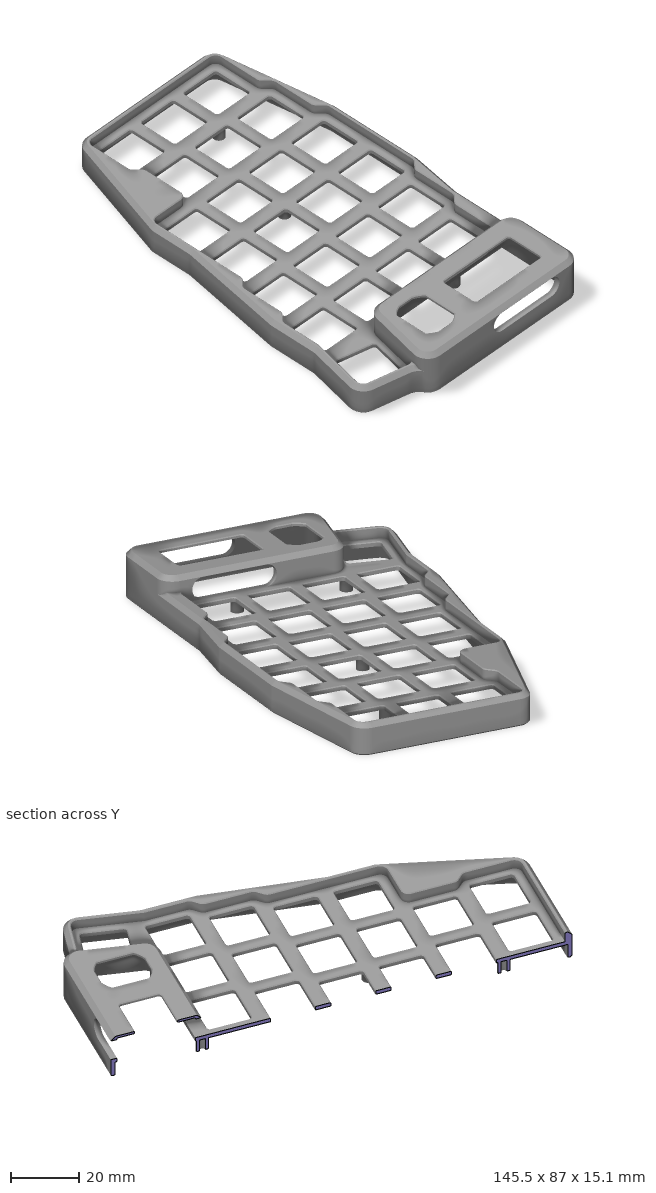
import cadquery as cq
import math

base_height = 10.0
total_height = 15.05
plate_top = 6.5
plate_thickness = 1.5
plate_bottom = plate_top - plate_thickness
past_surface = 1.0

outer_radius = 5.0
rim_chamfer = 1.4
bottom_chamfer = 0.5
opening_chamfer = 0.3
base_wall = 1.5

key_pitch_x = 19.0
key_pitch_y = 18.0
column_stagger = 3.0
column_rows = [3, 3, 4, 4, 4, 4]
column_raise = [0, 1, 2, 2, 1, 0]
first_column_x = 12.0
first_column_top_y = 69.45
key_hole = 14.0
key_hole_radius = 1.0

thumb_angle = 12.0
thumb_slope = math.tan(math.radians(thumb_angle))
thumb_sin = math.sin(math.radians(thumb_angle))
thumb_cos = math.cos(math.radians(thumb_angle))
thumb_key_center = (127.65, 12.85, 0)

overall_width = 145.46
overall_depth = 87.02
back_slope = column_stagger / key_pitch_x
left_front_y = 23.3
left_back_y = 80.25
outline_middle_x = 59.65
back_left_x = (overall_depth - left_back_y) / back_slope
back_right_x = 2 * outline_middle_x - back_left_x
front_left = (42.4, 10.25)
front_middle = (57.6, 10.25)
front_step = (96.5, 3.91)
thumb_start = (114.05, 3.91)
thumb_corner_x = 136.8
thumb_corner = (thumb_corner_x, thumb_start[1] - (thumb_corner_x - thumb_start[0]) * thumb_slope)

pocket_wall = 2.3
pocket_back_margin = 9.6
pocket_front_margin = 9.0
pocket_side_margin = 0.6
pocket_radius = 2.5
pocket_riser_overlap = 0.8

riser_left_x = 116.8
riser_back_y = 84.1
riser_left_front_y = 24.3
riser_chamfer = 1.5
riser_wall = 2.0
riser_roof = 1.0
window_size = (13.3, 28.0)
window_center = (131.15, 61.5)
window_radius = 1.0
knob_hole = (15.9, 12.2)
knob_diameter = 16.8
knob_center = (130.8, 33.6)
slot_height = 7.0
slot_length = 27.8
slot_center_y = 61.1
slot_center_z = base_height

post_diameter = 4.0
pilot_diameter = 1.65
post_bottom = 0.8
post_keys = [(0, 1), (2, 2), (5, 1), (5, 3)]


def column_x(column):
    return first_column_x + column * key_pitch_x


def key_y(column, row):
    column_top = first_column_top_y + column_raise[column] * column_stagger
    return column_top - row * key_pitch_y


def thumb_edge_x(y):
    """X of the outer edge beside the thumb key at a given Y."""
    return thumb_corner[0] + (y - thumb_corner[1]) * thumb_slope


def riser_front_y(x):
    """Y of the slanted front edge of the riser, parallel to the thumb key."""
    return riser_left_front_y - (x - riser_left_x) * thumb_slope


def prism(points, height):
    return cq.Workplane("XY").polyline(points).close().extrude(height)


def riser_block(height):
    footprint = [
        (riser_left_x, riser_left_front_y),
        (riser_left_x, riser_back_y),
        (overall_width, riser_back_y),
        (overall_width, riser_front_y(overall_width)),
    ]
    return prism(footprint, height).edges("|Z").fillet(outer_radius)


def base_outline():
    """The base as a plain block, including the area under the riser."""
    shoulder_x = back_right_x + (overall_depth - riser_back_y) / back_slope
    hidden_x = (riser_left_x + overall_width) / 2
    hidden_y = riser_left_front_y
    corners = [
        thumb_corner,
        thumb_start,
        front_step,
        front_middle,
        front_left,
        (0, left_front_y),
        (0, left_back_y),
        (back_left_x, overall_depth),
        (back_right_x, overall_depth),
        (shoulder_x, riser_back_y),
    ]
    under_riser = [(hidden_x, riser_back_y), (thumb_edge_x(hidden_y), hidden_y)]
    block = prism(corners + under_riser, base_height)
    for x, y in corners:
        block = block.edges(cq.selectors.NearestToPointSelector((x, y, base_height / 2))).fillet(outer_radius)
    block = block.union(riser_block(base_height))
    inner_corner = (thumb_edge_x(riser_front_y(overall_width)), riser_front_y(overall_width), base_height / 2)
    return block.edges(cq.selectors.NearestToPointSelector(inner_corner)).fillet(outer_radius)


def jog(column, y_before, y_after):
    """45 degree step of the pocket edge between a column and the next one."""
    middle_x = column_x(column) + key_pitch_x / 2
    half = abs(y_after - y_before) / 2
    return [(middle_x - half, y_before), (middle_x + half, y_after)]


def key_pocket():
    columns = range(len(column_rows))
    back = [key_y(i, 0) + pocket_back_margin for i in columns]
    front = [key_y(i, column_rows[i] - 1) - pocket_front_margin for i in columns]

    corner_x = thumb_corner[0] + pocket_wall * (thumb_sin - thumb_cos)
    corner_y = thumb_corner[1] + pocket_wall * (thumb_sin + thumb_cos)
    bend_x = corner_x - (front[5] - corner_y) / thumb_slope
    riser_side_x = riser_left_x + pocket_riser_overlap
    riser_front_corner_y = riser_front_y(riser_side_x) + pocket_riser_overlap
    end_y = riser_front_y(thumb_edge_x(riser_left_front_y)) + 2 * pocket_riser_overlap
    end_x = thumb_edge_x(end_y) - pocket_wall / thumb_cos
    long_column_x = column_x(2) - key_pitch_x / 2 - pocket_side_margin

    points = [(pocket_wall, front[0]), (pocket_wall, back[0])]
    for column in (0, 1, 3, 4):
        points += jog(column, back[column], back[column + 1])
    points += [(riser_side_x, back[5]), (riser_side_x, riser_front_corner_y)]
    points += [(end_x, end_y), (corner_x, corner_y), (bend_x, front[5])]
    for column in (4, 3):
        points += reversed(jog(column, front[column], front[column + 1]))
    points += [(long_column_x, front[2]), (long_column_x, front[1])]
    points += reversed(jog(0, front[0], front[1]))

    wall_height = base_height - opening_chamfer - plate_top
    pocket = prism(points, wall_height).edges("|Z").fillet(pocket_radius)
    mouth_outline = pocket.faces("<Z").wires().val()
    mouth = cq.Workplane("XY").add(mouth_outline).toPending().extrude(opening_chamfer, taper=-45)
    pocket = pocket.union(mouth.translate((0, 0, wall_height)))
    return pocket.translate((0, 0, plate_top))


def cut_key_holes(base):
    depth = plate_top + past_surface
    hole = cq.Workplane("XY").rect(key_hole, key_hole).extrude(depth).edges("|Z").fillet(key_hole_radius)
    for column, rows in enumerate(column_rows):
        for row in range(rows):
            base = base.cut(hole.translate((column_x(column), key_y(column, row), 0)))
    thumb_hole = hole.rotate((0, 0, 0), (0, 0, 1), -thumb_angle).translate(thumb_key_center)
    return base.cut(thumb_hole)


def chamfer_openings(body, face_selector):
    """Break the edge of every opening in the selected flat face."""
    edges = []
    for wire in body.faces(face_selector).val().innerWires():
        edges += wire.Edges()
    return cq.Workplane(body.val().chamfer(opening_chamfer, None, edges))


def inset_block(block, inset, height):
    """Block under the same outline as another, moved inward all round."""
    outline = block.faces("<Z").wires().val()
    return cq.Workplane("XY").add(outline).toPending().offset2D(-inset).extrude(height)


def make_riser():
    riser = riser_block(total_height - plate_bottom).translate((0, 0, plate_bottom))
    riser = riser.faces(">Z").chamfer(riser_chamfer)
    window = cq.Workplane("XY").center(*window_center).rect(*window_size).extrude(total_height)
    window = window.edges("|Z").fillet(window_radius)
    knob = cq.Workplane("XY").center(*knob_center).rect(*knob_hole).extrude(total_height)
    knob = knob.intersect(cq.Workplane("XY").center(*knob_center).circle(knob_diameter / 2).extrude(total_height))
    return chamfer_openings(riser.cut(window).cut(knob), ">Z")


def side_slot():
    """Round-ended slot through both long walls of the riser."""
    slot = cq.Workplane("YZ").center(slot_center_y, slot_center_z).slot2D(slot_length, slot_height)
    slot = slot.extrude(overall_width - riser_left_x + 2 * past_surface)
    return slot.translate((riser_left_x - past_surface, 0, 0))


def screw_posts():
    centers = []
    for column, row in post_keys:
        centers.append((column_x(column) + key_pitch_x / 2, key_y(column, row) + key_pitch_y / 2))
    plane = cq.Workplane("XY").workplane(offset=post_bottom).pushPoints(centers)
    return plane.circle(post_diameter / 2).circle(pilot_diameter / 2).extrude(plate_bottom - post_bottom)


block = base_outline()
base = block.faces(">Z").chamfer(rim_chamfer).faces("<Z").chamfer(bottom_chamfer)
base = base.cut(key_pocket())
base = cut_key_holes(base)
plate_middle = (70, 45, plate_top)
base = chamfer_openings(base, cq.selectors.NearestToPointSelector(plate_middle))
base_cavity = inset_block(block, base_wall, plate_bottom)
riser_cavity = inset_block(riser_block(total_height), riser_wall, total_height - riser_roof)

body = base.union(make_riser())
body = body.cut(base_cavity).cut(riser_cavity).cut(side_slot())
result = body.union(screw_posts())